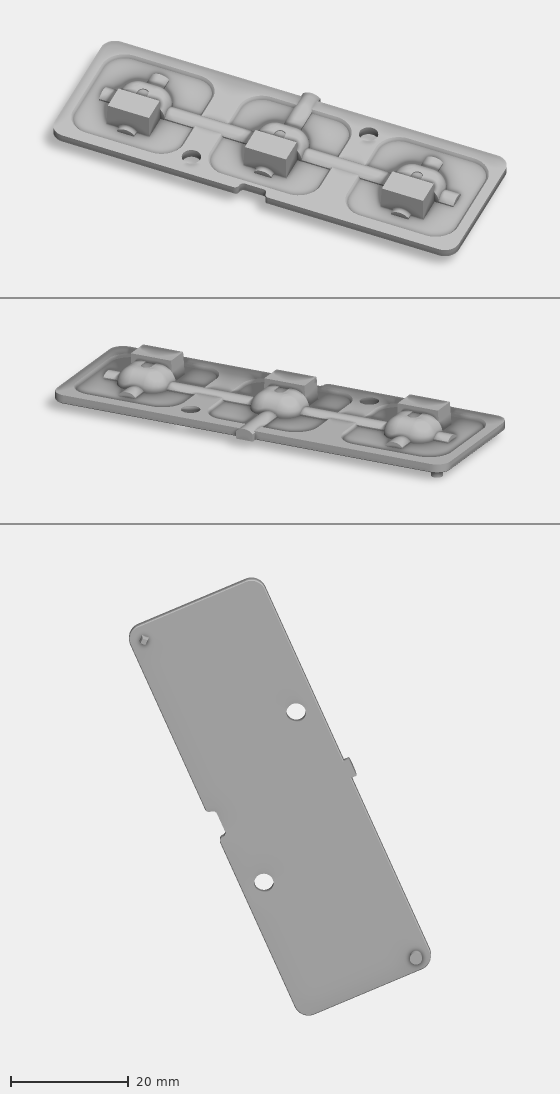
import cadquery as cq

plate_length = 75
plate_width = 25.05
plate_thickness = 1.6
plate_corner_radius = 2.55
bottom_chamfer = 0.15
plate_bottom = -plate_thickness

cell_pitch = 25.4
cell_centres = [-cell_pitch, 0, cell_pitch]

recess_size = 20.55
recess_corner_radius = 4.2
recess_depth = 0.5
recess_wall_run = 0.45
recess_floor = -recess_depth

rib_width = 3.2
rib_shoulder = -0.2
rib_crest = 0.45
cross_reach = 7.4
middle_rib_end = 13.5

dome_width = 9.5
dome_back = 4.3
dome_front = -1.65
dome_height = 2.7
dome_rounding = 3.4
dome_edge_rounding = 3.15
dome_groove_width = 1.95
dome_groove_end = 1.0
dome_groove_depth = 0.2

block_height = 3.7
block_top_width = 7.65
block_base_width = 7.95
block_top_back = dome_front
block_top_front = -6.2
block_base_back = -1.9
block_base_front = -6.5
block_base_fillet = 0.2

hole_diameter = 3.3
hole_offset_x = cell_pitch / 2
hole_offset_y = 8.55

notch_depth = 1.6
notch_floor_width = 3.4

pin_length = 1.4
pin_offset_x = plate_length / 2 - plate_corner_radius
pin_offset_y = plate_width / 2 - plate_corner_radius
round_pin_diameter = 2.1
diamond_pin_diagonal = 1.8
diamond_tip_diagonal = 1.3


def make_plate():
    plate = (
        cq.Workplane("XY", origin=(0, 0, plate_bottom))
        .rect(plate_length, plate_width)
        .extrude(plate_thickness)
        .edges("|Z")
        .fillet(plate_corner_radius)
        .faces("<Z")
        .chamfer(bottom_chamfer)
    )
    holes = (
        cq.Workplane("XY", origin=(0, 0, plate_bottom))
        .pushPoints([(-hole_offset_x, -hole_offset_y), (hole_offset_x, hole_offset_y)])
        .circle(hole_diameter / 2)
        .extrude(plate_thickness)
    )
    return plate.cut(holes).cut(make_notch())


def make_notch():
    edge_y = -plate_width / 2
    floor_y = edge_y + notch_depth
    middle_y = edge_y + notch_depth / 2
    flank_radius = notch_depth / 2
    floor_x = notch_floor_width / 2
    middle_x = floor_x + flank_radius
    mouth_x = middle_x + flank_radius
    return (
        cq.Workplane("XY", origin=(0, 0, plate_bottom))
        .moveTo(-mouth_x, edge_y)
        .radiusArc((-middle_x, middle_y), -flank_radius)
        .radiusArc((-floor_x, floor_y), flank_radius)
        .lineTo(floor_x, floor_y)
        .radiusArc((middle_x, middle_y), flank_radius)
        .radiusArc((mouth_x, edge_y), -flank_radius)
        .close()
        .extrude(plate_thickness)
    )


def rounded_square(size, corner_radius, z):
    square = cq.Sketch().rect(size, size).vertices().fillet(corner_radius)
    return square.moved(cq.Location((0, 0, z)))


def make_recess(centre_x):
    floor_size = recess_size - 2 * recess_wall_run
    floor_radius = recess_corner_radius - recess_wall_run
    floor = rounded_square(floor_size, floor_radius, recess_floor)
    rim = rounded_square(recess_size, recess_corner_radius, 0)
    return cq.Workplane("XY", origin=(centre_x, 0, 0)).placeSketch(floor, rim).loft()


def make_rib(plane, start, length, base):
    """Arched bar on a plane whose local x runs across the bar and local y runs up."""
    half_width = rib_width / 2
    return (
        cq.Workplane(cq.Plane(origin=start, xDir=plane.xDir, normal=plane.zDir))
        .moveTo(-half_width, base)
        .lineTo(-half_width, rib_shoulder)
        .threePointArc((0, rib_crest), (half_width, rib_shoulder))
        .lineTo(half_width, base)
        .close()
        .extrude(length)
    )


def make_ribs():
    along_x = cq.Plane.YZ()
    along_y = cq.Plane.XZ()
    row_end = cell_pitch + cross_reach
    ribs = make_rib(along_x, (-row_end, 0, 0), 2 * row_end, recess_floor)
    for centre_x in cell_centres:
        ribs = ribs.union(make_rib(along_y, (centre_x, cross_reach, 0), 2 * cross_reach, recess_floor))
    return ribs.union(make_rib(along_y, (0, middle_rib_end, 0), middle_rib_end, plate_bottom))


def make_dome(centre_x):
    depth = dome_back - dome_front
    dome = (
        cq.Workplane("XY", origin=(0, (dome_back + dome_front) / 2, recess_floor))
        .rect(dome_width, depth)
        .extrude(dome_height - recess_floor)
        .edges("|Z and >Y")
        .fillet(dome_rounding)
        .faces(">Z")
        .edges("not <Y")
        .fillet(dome_edge_rounding)
    )
    groove_radius = dome_groove_width / 2
    groove_arc_y = dome_groove_end - groove_radius
    groove = (
        cq.Workplane("XY", origin=(0, 0, dome_height - dome_groove_depth))
        .moveTo(-groove_radius, dome_front)
        .lineTo(-groove_radius, groove_arc_y)
        .threePointArc((0, dome_groove_end), (groove_radius, groove_arc_y))
        .lineTo(groove_radius, dome_front)
        .close()
        .extrude(dome_groove_depth)
    )
    return dome.cut(groove).translate((centre_x, 0, 0))


def make_block(centre_x):
    base_centre = (block_base_back + block_base_front) / 2
    top_centre = (block_top_back + block_top_front) / 2
    return (
        cq.Workplane("XY", origin=(centre_x, base_centre, recess_floor))
        .rect(block_base_width, block_base_back - block_base_front)
        .workplane(offset=block_height - recess_floor)
        .center(0, top_centre - base_centre)
        .rect(block_top_width, block_top_back - block_top_front)
        .loft()
    )


def block_front_base_edges(centre_x):
    """Selects the inner edges where the block front meets the recess floor and the rib."""
    margin = 0.1
    half_width = block_base_width / 2 + margin
    return cq.selectors.BoxSelector(
        (centre_x - half_width, block_base_front - margin, recess_floor - margin),
        (centre_x + half_width, block_base_front + margin, rib_crest + margin),
    )


def make_pins():
    round_pin = (
        cq.Workplane("XY", origin=(-pin_offset_x, pin_offset_y, plate_bottom))
        .circle(round_pin_diameter / 2)
        .extrude(-pin_length)
    )
    diamond_pin = (
        cq.Workplane("XY", origin=(pin_offset_x, -pin_offset_y, plate_bottom))
        .polygon(4, diamond_pin_diagonal)
        .workplane(offset=-pin_length)
        .polygon(4, diamond_tip_diagonal)
        .loft()
    )
    return round_pin.union(diamond_pin)


result = make_plate()
for centre_x in cell_centres:
    result = result.cut(make_recess(centre_x))
result = result.union(make_ribs())
for centre_x in cell_centres:
    result = result.union(make_dome(centre_x)).union(make_block(centre_x))
for centre_x in cell_centres:
    result = result.edges(block_front_base_edges(centre_x)).fillet(block_base_fillet)
result = result.union(make_pins())